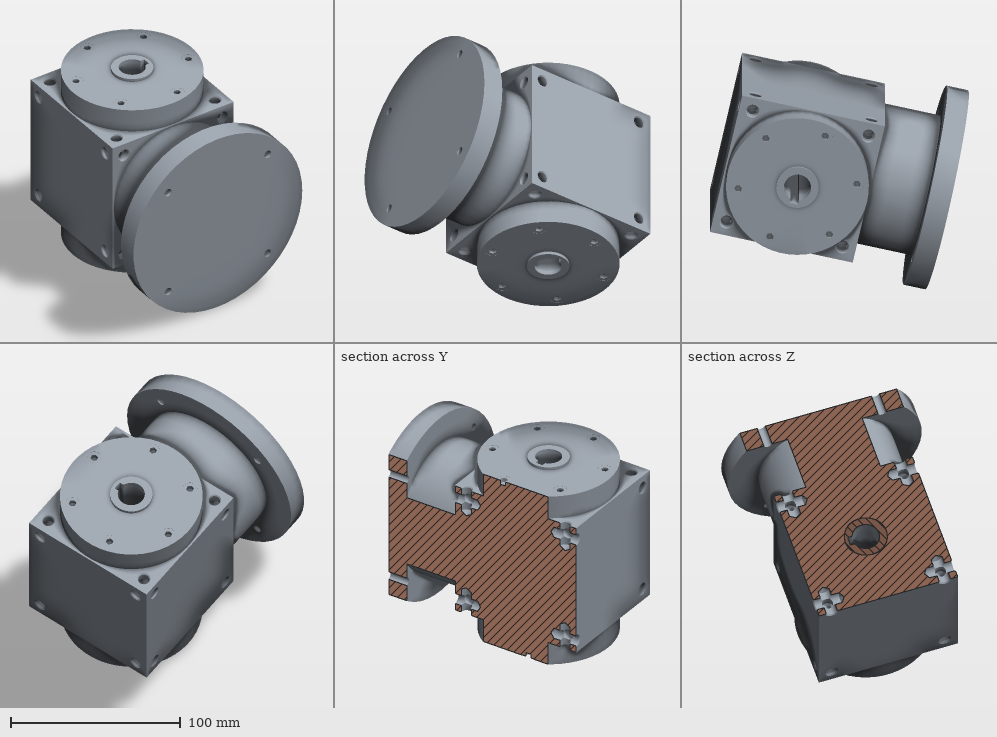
import cadquery as cq
import math

cube_side = 86.0
half_cube = cube_side / 2

cover_diameter = 84.0
cover_height = 15.0

screw_count = 6
screw_circle_diameter = 70.0
first_screw_angle = 15
screw_head_diameter = 8.5
screw_head_recess = 0.1
socket_across_flats = 4.0
socket_corner_diameter = socket_across_flats / math.cos(math.radians(30))
socket_depth = 2.7

corner_hole_spacing = 70.0
corner_hole_diameter = 6.6
corner_hole_depth = 16.0
corner_hole_mouth_diameter = 8.0
drill_point_angle = 118

overall_length = 133.0
flange_diameter = 120.0
flange_thickness = 13.0
neck_diameter = cover_diameter
neck_length = overall_length - cube_side - flange_thickness
flange_hole_count = 4
flange_hole_diameter = 4.9
flange_hole_circle_diameter = 100.0
first_flange_hole_angle = 45

shaft_length = 120.0
shaft_diameter = 25.0
shaft_bore_diameter = 16.0
keyway_width = 5.0
keyway_top = 10.2


def face_plane(normal, distance):
    """Plane facing outward along normal, at a distance from the origin."""
    direction = cq.Vector(*normal)
    x_direction = (0, 1, 0) if normal[0] else (1, 0, 0)
    return cq.Plane(origin=(direction * distance).toTuple(), xDir=x_direction, normal=normal)


def corner_hole_cutter():
    """Chamfered blind hole with a conical drill point, entering the XY plane downward."""
    radius = corner_hole_diameter / 2
    mouth_radius = corner_hole_mouth_diameter / 2
    chamfer = mouth_radius - radius
    point_height = radius / math.tan(math.radians(drill_point_angle / 2))
    profile = [
        (0, 0),
        (mouth_radius, 0),
        (radius, -chamfer),
        (radius, -corner_hole_depth),
        (0, -corner_hole_depth - point_height),
    ]
    return cq.Workplane("XZ").polyline(profile).close().revolve(360, (0, 0), (0, 1)).val()


def corner_holes(normal):
    """Cutters for the four corner holes of one cube face."""
    cutter = corner_hole_cutter()
    face = cq.Location(face_plane(normal, half_cube))
    offset = corner_hole_spacing / 2
    corners = [(u, v) for u in (-offset, offset) for v in (-offset, offset)]
    return [cutter.moved(face * cq.Location(cq.Vector(u, v, 0))) for u, v in corners]


def cover(normal):
    """One round cover with its ring of recessed socket screws."""
    top = face_plane(normal, half_cube + cover_height)
    screw_ring = (screw_circle_diameter / 2, first_screw_angle, 360, screw_count)
    disc = cq.Workplane(top).circle(cover_diameter / 2).extrude(-cover_height)
    heads = (
        cq.Workplane(top)
        .polarArray(*screw_ring)
        .circle(screw_head_diameter / 2)
        .extrude(-screw_head_recess)
    )
    sockets = (
        cq.Workplane(top)
        .polarArray(*screw_ring)
        .polygon(6, socket_corner_diameter)
        .extrude(-screw_head_recess - socket_depth)
    )
    return disc.cut(heads).cut(sockets)


def flanged_neck():
    """Round neck ending in a flange with a ring of through holes."""
    neck = cq.Workplane(face_plane((1, 0, 0), half_cube)).circle(neck_diameter / 2).extrude(neck_length)
    flange_plane = face_plane((1, 0, 0), half_cube + neck_length)
    flange = cq.Workplane(flange_plane).circle(flange_diameter / 2).extrude(flange_thickness)
    holes = (
        cq.Workplane(flange_plane)
        .polarArray(flange_hole_circle_diameter / 2, first_flange_hole_angle, 360, flange_hole_count)
        .circle(flange_hole_diameter / 2)
        .extrude(flange_thickness)
    )
    return neck.union(flange.cut(holes))


def make_housing():
    """Cube, covers and flanged neck in one body, with the shaft hole through it."""
    cover_normals = [(0, 0, 1), (0, 0, -1)]
    side_normals = [(1, 0, 0), (-1, 0, 0), (0, 1, 0), (0, -1, 0)]
    body = cq.Workplane("XY").box(cube_side, cube_side, cube_side)
    for normal in cover_normals + side_normals:
        for cutter in corner_holes(normal):
            body = body.cut(cutter)
    for normal in cover_normals:
        body = body.union(cover(normal))
    body = body.union(flanged_neck())
    shaft_hole = cq.Workplane("XY").circle(shaft_diameter / 2).extrude(shaft_length / 2, both=True)
    return body.cut(shaft_hole)


def make_shaft():
    """Hollow shaft with a keyway on the +Y side of its bore."""
    tube = (
        cq.Workplane("XY")
        .circle(shaft_diameter / 2)
        .circle(shaft_bore_diameter / 2)
        .extrude(shaft_length / 2, both=True)
    )
    keyway = cq.Workplane("XY").center(0, keyway_top / 2).rect(keyway_width, keyway_top)
    return tube.cut(keyway.extrude(shaft_length / 2, both=True))


housing = make_housing()
shaft = make_shaft()

result = cq.Compound.makeCompound([housing.val(), shaft.val()])